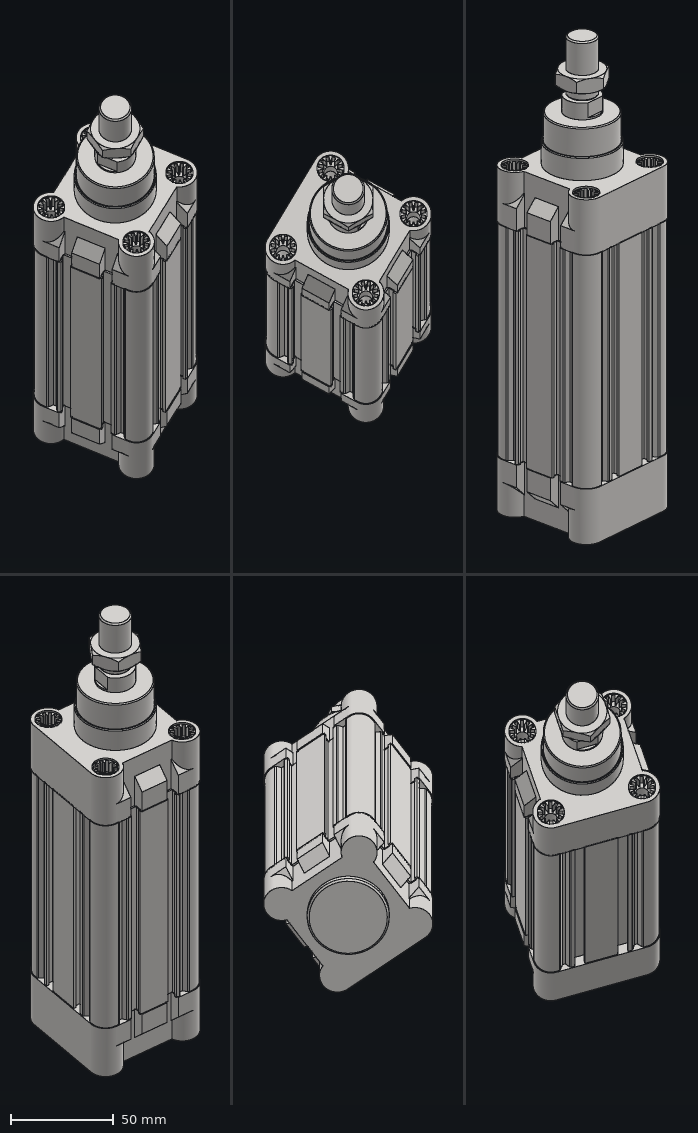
import cadquery as cq
import math

stroke = 80.0
cover_length = 30.0
barrel_end_allowance = 46.0
barrel_length = stroke + barrel_end_allowance
front_face = barrel_length + 2 * cover_length
extension = 37.0
thread_length = 32.0

cover_half = 32.0
screw_spacing = 46.5
screw_offset = screw_spacing / 2
post_radius = cover_half - screw_offset
cover_wall = 26.0
rib_length = 12.2
center_rib_half = 7.6
corner_rib_inner = 14.4

barrel_half = 31.5
slot_near, slot_far = 8.4, 13.6
slot_lip = 1.5
slot_undercut = 1.2
slot_floor = 26.9
groove_mouth = (15.5, 21.5)
groove_shoulder = (16.2, 20.7)
groove_floor = (17.6, 19.1)
groove_shoulder_depth = 0.5
groove_depth = 2.6

collar_diameter = 40.0
collar_length = 12.5
collar_chamfer = 0.5
pilot_chamfer = 1.0
bushing_diameter = 38.0
bushing_length = 28.0
bushing_chamfer = 0.6
rear_pilot_length = 4.0

screw_recess_diameter = 13.2
screw_recess_depth = 1.0
socket_diameter = 12.0
socket_tooth_diameter = 8.0
socket_depth = 8.0
socket_teeth = 12
socket_groove_width = 1.6
screw_bore_diameter = 6.65
screw_bore_depth = 16.0
drill_point_angle = 118.0

rod_diameter = 20.0
flat_width = 17.0
flat_length = 8.0
thread_diameter = 16.0
thread_core_diameter = 14.38
thread_chamfer = (thread_diameter - thread_core_diameter) / 2

nut_sides = 6
nut_width = 24.0
nut_height = 8.0
nut_gap = 6.0
nut_chamfer_angle = 30.0

shoulder = front_face + extension
rod_start = front_face - cover_length
screw_centers = [(x, y) for x in (-screw_offset, screw_offset) for y in (-screw_offset, screw_offset)]


def box(x_range, y_range, z_range):
    """Axis-aligned block between the given limits."""
    lows, highs = zip(x_range, y_range, z_range)
    size = [high - low for low, high in zip(lows, highs)]
    return cq.Workplane("XY").box(*size, centered=False).translate(lows)


def cylinder(diameter, start, length):
    return cq.Workplane("XY").workplane(offset=start).circle(diameter / 2).extrude(length)


def cover_rib(inner, outer):
    """Rib on the -Y side from the barrel joint, ending in a 45 degree slope."""
    slope = cover_half - cover_wall
    profile = [
        (0, 0),
        (-cover_half, 0),
        (-cover_half, rib_length),
        (-cover_wall, rib_length + slope),
        (0, rib_length + slope),
    ]
    return cq.Workplane("YZ").workplane(offset=inner).polyline(profile).close().extrude(outer - inner)


def make_cover():
    """Cover with its barrel joint at Z = 0 and its outer face at Z = cover_length."""
    height = (0, cover_length)
    cover = box((-cover_wall, cover_wall), (-cover_wall, cover_wall), height)
    posts = cq.Workplane("XY").pushPoints(screw_centers).circle(post_radius)
    cover = cover.union(posts.extrude(cover_length))
    cover = cover.union(box((-screw_offset, screw_offset), (0, cover_half), height))
    ribs = cover_rib(-center_rib_half, center_rib_half)
    ribs = ribs.union(cover_rib(corner_rib_inner, screw_offset))
    ribs = ribs.union(cover_rib(-screw_offset, -corner_rib_inner))
    for angle in (0, 90, -90):
        cover = cover.union(ribs.rotate((0, 0, 0), (0, 0, 1), angle))
    return cover


def slot_cutter():
    """T-shaped sensor slot on the -Y side."""
    lip = -barrel_half + slot_lip
    mouth = box((slot_near, slot_far), (-barrel_half, -slot_floor), (0, barrel_length))
    wide = (slot_near - slot_undercut, slot_far + slot_undercut)
    return mouth.union(box(wide, (lip, -slot_floor), (0, barrel_length)))


def groove_cutter():
    """Bevelled groove beside the sensor slot on the -Y side."""
    left = [groove_mouth[0], groove_shoulder[0], groove_floor[0]]
    right = [groove_floor[1], groove_shoulder[1], groove_mouth[1]]
    depths = [0, groove_shoulder_depth, groove_depth]
    points = [(x, depth - barrel_half) for x, depth in zip(left + right, depths + depths[::-1])]
    return cq.Workplane("XY").polyline(points).close().extrude(barrel_length)


def make_barrel():
    width = 2 * barrel_half
    barrel = cq.Workplane("XY").rect(width, width).extrude(barrel_length)
    barrel = barrel.edges("|Z").fillet(barrel_half - screw_offset)
    for cut in (slot_cutter(), groove_cutter()):
        for angle in (0, 90, 180, 270):
            for side in (cut, cut.mirror("YZ")):
                barrel = barrel.cut(side.rotate((0, 0, 0), (0, 0, 1), angle))
    return barrel


def screw_socket():
    """Cutter for one screw: round recess, toothed socket and drilled bore, going down from Z = 0."""
    recess = cylinder(screw_recess_diameter, -screw_recess_depth, screw_recess_depth)
    socket = cylinder(socket_tooth_diameter, -socket_depth, socket_depth)
    envelope = cylinder(socket_diameter, -socket_depth, socket_depth)
    bar = cq.Workplane("XY").rect(socket_diameter, socket_groove_width).extrude(-socket_depth)
    bar = bar.intersect(envelope)
    pitch = 360 / socket_teeth
    for i in range(socket_teeth // 2):
        socket = socket.union(bar.rotate((0, 0, 0), (0, 0, 1), (i + 0.5) * pitch))
    radius = screw_bore_diameter / 2
    tip = radius / math.tan(math.radians(drill_point_angle / 2))
    bore = (
        cq.Workplane("XZ")
        .polyline([(0, 0), (radius, 0), (radius, -screw_bore_depth), (0, -screw_bore_depth - tip)])
        .close()
        .revolve(360, (0, 0, 0), (0, 1, 0))
    )
    return recess.union(socket).union(bore)


def make_housing():
    cover = make_cover()
    housing = make_barrel().translate((0, 0, cover_length))
    housing = housing.union(cover.translate((0, 0, front_face - cover_length)))
    housing = housing.union(cover.mirror("XY").translate((0, 0, cover_length)))
    collar = cylinder(collar_diameter, front_face, collar_length).faces(">Z").chamfer(collar_chamfer)
    bushing = cylinder(bushing_diameter, front_face, bushing_length).faces(">Z").chamfer(bushing_chamfer)
    pilot = cylinder(collar_diameter, -rear_pilot_length, rear_pilot_length)
    pilot = pilot.faces("<Z").chamfer(pilot_chamfer)
    housing = housing.union(collar).union(bushing).union(pilot)
    socket = screw_socket()
    for x, y in screw_centers:
        housing = housing.cut(socket.translate((x, y, front_face)))
    return housing.cut(cylinder(rod_diameter, rod_start, shoulder - rod_start))


def make_rod():
    shaft = cylinder(rod_diameter, rod_start, shoulder - rod_start)
    for side in (-1, 1):
        limits = sorted((side * flat_width / 2, side * rod_diameter))
        shaft = shaft.cut(box((-rod_diameter, rod_diameter), limits, (shoulder - flat_length, shoulder)))
    thread = cylinder(thread_diameter, shoulder, thread_length).faces("<Z or >Z").chamfer(thread_chamfer)
    return shaft.union(thread)


def make_nut():
    corner_diameter = nut_width / math.cos(math.pi / nut_sides)
    start = shoulder + nut_gap
    nut = cq.Workplane("XY").polygon(nut_sides, corner_diameter).extrude(nut_height)
    nut = nut.rotate((0, 0, 0), (0, 0, 1), 180 / nut_sides)
    drop = (corner_diameter - nut_width) / 2 * math.tan(math.radians(nut_chamfer_angle))
    envelope = (
        cq.Workplane("XZ")
        .polyline([
            (0, 0),
            (nut_width / 2, 0),
            (corner_diameter / 2, drop),
            (corner_diameter / 2, nut_height - drop),
            (nut_width / 2, nut_height),
            (0, nut_height),
        ])
        .close()
        .revolve(360, (0, 0, 0), (0, 1, 0))
    )
    nut = nut.intersect(envelope).translate((0, 0, start))
    return nut.cut(cylinder(thread_diameter, start, nut_height))


housing = make_housing()
rod = make_rod()
nut = make_nut()
result = cq.Compound.makeCompound([housing.val(), rod.val(), nut.val()])